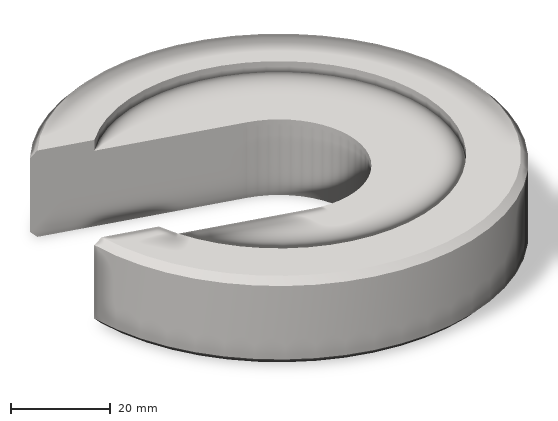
import cadquery as cq

outer_diameter = 100.0
thickness = 20.0
edge_chamfer = 1.5
recess_diameter = 75.0
recess_depth = 2.5
slot_width = 37.0

outer_radius = outer_diameter / 2
slot_radius = slot_width / 2


def chamfered_disc():
    """Solid disc with both rims chamfered."""
    disc = cq.Workplane("XY").circle(outer_radius).extrude(thickness)
    return disc.faces("<Z or >Z").edges().chamfer(edge_chamfer)


def top_recess():
    """Shallow round seat sunk into the top face."""
    floor = cq.Workplane("XY").workplane(offset=thickness - recess_depth)
    return floor.circle(recess_diameter / 2).extrude(recess_depth)


def open_slot():
    """Through slot with a round end on the disc axis, open at the -Y rim."""
    return (
        cq.Workplane("XY")
        .moveTo(slot_radius, -outer_radius)
        .lineTo(slot_radius, 0)
        .threePointArc((0, slot_radius), (-slot_radius, 0))
        .lineTo(-slot_radius, -outer_radius)
        .close()
        .extrude(thickness)
    )


result = chamfered_disc().cut(top_recess()).cut(open_slot())